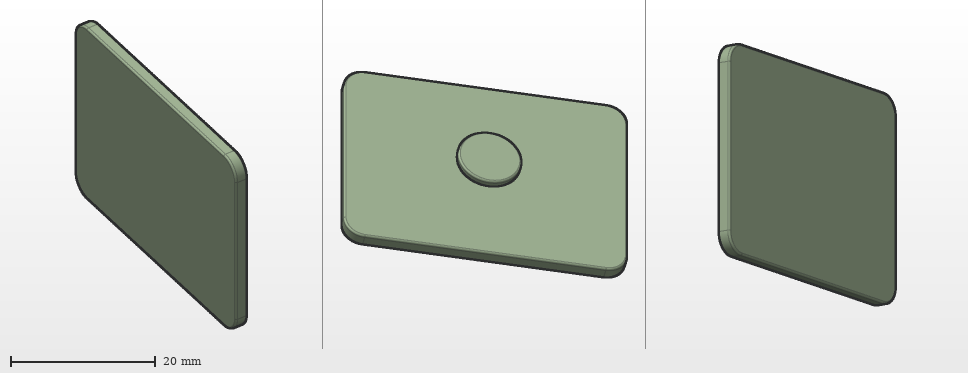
import cadquery as cq

plate_width = 40.0
plate_height = 30.0
plate_thickness = 2.0
corner_radius = 3.0
plate_edge_fillet = 0.3

total_depth = 4.9
neck_diameter = 4.0
disc_diameter = 9.0
disc_thickness = 1.2
disc_edge_fillet = 0.3
neck_fillet = 0.3

disc_start = total_depth - disc_thickness


def disc_along_y(diameter, start, end):
    """Cylinder on the Y axis between two Y positions."""
    return cq.Workplane("XZ", origin=(0, start, 0)).circle(diameter / 2).extrude(start - end)


def make_plate():
    plate = cq.Workplane("XZ").rect(plate_width, plate_height).extrude(-plate_thickness)
    plate = plate.edges("|Y").fillet(corner_radius)
    return plate.faces("<Y or >Y").edges().fillet(plate_edge_fillet)


def make_button():
    neck = disc_along_y(neck_diameter, plate_thickness, disc_start)
    disc = disc_along_y(disc_diameter, disc_start, total_depth)
    return neck.union(disc.edges().fillet(disc_edge_fillet))


neck_edges = cq.selectors.BoxSelector(
    (-neck_diameter, plate_thickness - neck_fillet, -neck_diameter),
    (neck_diameter, disc_start + neck_fillet, neck_diameter),
)
neck_ends = cq.selectors.RadiusNthSelector(0)

part = make_plate().union(make_button())
result = part.edges(neck_edges).edges("%CIRCLE").edges(neck_ends).fillet(neck_fillet)